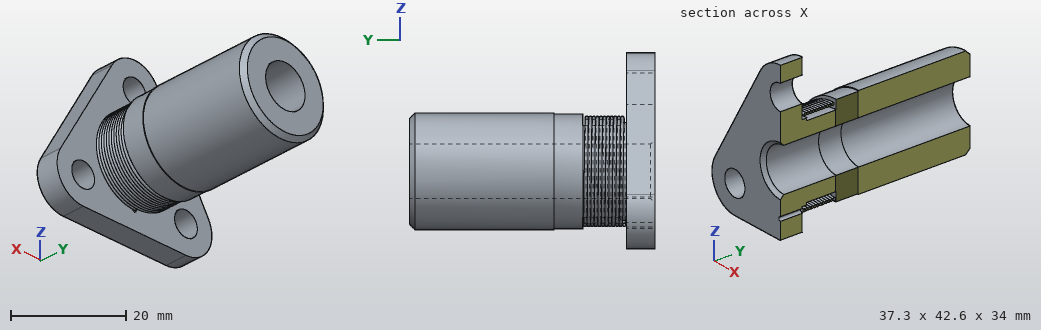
import cadquery as cq
import math

overall_length = 42.6
bore_diameter = 9.5

flange_thickness = 5.0
corner_distance = 14.3
corner_radius = 6.285
screw_hole_diameter = 5.5
bore_chamfer = 0.75
boss_diameter = 17.0
boss_length = 1.0
neck_diameter = 16.0
wire_hole_diameter = 0.8

wire_diameter = 0.6
coil_outer_diameter = 19.17
coil_pitch = 0.618
coil_turns = 11
coil_mean_radius = (coil_outer_diameter - wire_diameter) / 2
spring_clearance = 0.13
spring_gap = coil_turns * coil_pitch + wire_diameter + spring_clearance

collar_diameter = 20.0
collar_start = flange_thickness + spring_gap
collar_length = 5.03
sleeve_diameter = 20.3
sleeve_start = collar_start + collar_length
sleeve_chamfer = 1.0


def cylinder(diameter, start, end, x=0, z=0):
    """Solid cylinder parallel to Y, from Y = start to Y = end."""
    base = cq.Workplane("XZ", origin=(x, start, z))
    return base.circle(diameter / 2).extrude(start - end)


def corner_point(angle, offset=0, offset_angle=0):
    """Point in XZ at a corner centre, optionally shifted in a given direction."""
    a = math.radians(angle)
    b = math.radians(offset_angle)
    return (
        corner_distance * math.cos(a) + offset * math.cos(b),
        corner_distance * math.sin(a) + offset * math.sin(b),
    )


def make_flange():
    """Triangular plate with the boss and neck that carry the spring."""
    corner_angles = [90, 210, 330]
    outline = cq.Workplane("XZ").moveTo(*corner_point(330, corner_radius, 30))
    for angle in corner_angles:
        outline = outline.lineTo(*corner_point(angle, corner_radius, angle - 60))
        outline = outline.threePointArc(
            corner_point(angle, corner_radius, angle),
            corner_point(angle, corner_radius, angle + 60),
        )
    body = outline.close().extrude(-flange_thickness)

    boss_end = flange_thickness + boss_length
    body = body.union(cylinder(boss_diameter, flange_thickness, boss_end))
    body = body.union(cylinder(neck_diameter, boss_end, collar_start))
    body = body.cut(cylinder(bore_diameter, 0, collar_start))
    for angle in corner_angles:
        x, z = corner_point(angle)
        body = body.cut(cylinder(screw_hole_diameter, 0, flange_thickness, x, z))
    body = body.cut(cylinder(wire_hole_diameter, 0, flange_thickness, z=-coil_mean_radius))

    bore_radius = bore_diameter / 2
    lead_in = cq.Workplane("XY").polyline(
        [(0, 0), (bore_radius + bore_chamfer, 0), (bore_radius, bore_chamfer), (0, bore_chamfer)]
    )
    return body.cut(lead_in.close().revolve(360, (0, 0, 0), (0, 1, 0)))


def make_spring():
    """Left-hand coil that starts and ends at its lowest point (-Z)."""
    path = cq.Wire.makeHelix(coil_pitch, coil_turns * coil_pitch, coil_mean_radius, lefthand=True)
    tangent = cq.Vector(0, -2 * math.pi * coil_mean_radius, coil_pitch)
    section_plane = cq.Plane(origin=(coil_mean_radius, 0, 0), xDir=(1, 0, 0), normal=tangent)
    coil = cq.Workplane(section_plane).circle(wire_diameter / 2).sweep(path, isFrenet=True)
    coil = coil.rotate((0, 0, 0), (0, 0, 1), 90).rotate((0, 0, 0), (1, 0, 0), -90)
    first_coil_y = flange_thickness + (wire_diameter + spring_clearance) / 2
    return coil.translate((0, first_coil_y, 0))


def make_collar():
    outside = cylinder(collar_diameter, collar_start, sleeve_start)
    return outside.cut(cylinder(bore_diameter, collar_start, sleeve_start))


def make_sleeve():
    outside = cylinder(sleeve_diameter, sleeve_start, overall_length).faces(">Y").chamfer(sleeve_chamfer)
    return outside.cut(cylinder(bore_diameter, sleeve_start, overall_length))


flange = make_flange()
spring = make_spring()
collar = make_collar()
sleeve = make_sleeve()

bodies = [flange, spring, collar, sleeve]
result = cq.Compound.makeCompound([body.solids().val() for body in bodies])